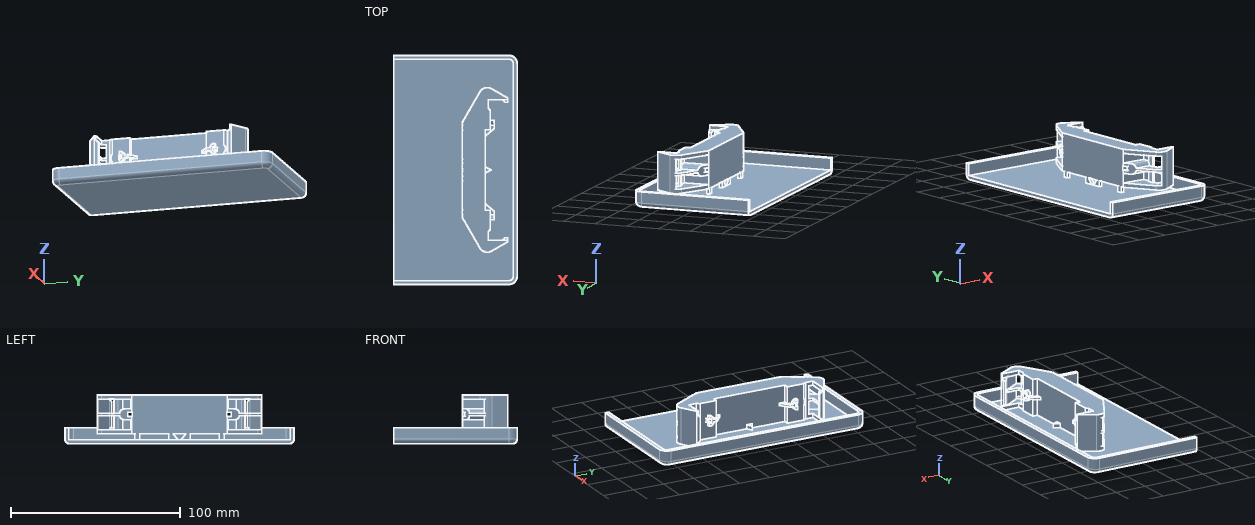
import cadquery as cq
import math

TRAY_LENGTH = 134.9
TRAY_DEPTH = 72.7
TRAY_HEIGHT = 9.6
FLOOR = 2.4
RIM = 2.3
RIM_CORNER = 5.0
FLOOR_ROUND = 3.0

CLIP_TOP = 28.9
CLIP_BOTTOM = 6.0
CLIP_FRONT = 40.5
CLIP_TIP = 67.2
PLATE = 2.5
RIB = 1.5
CLIP_MIDDLE = (CLIP_TOP + CLIP_BOTTOM) / 2
INSIDE_BOTTOM = CLIP_BOTTOM + PLATE
INSIDE_HEIGHT = CLIP_TOP - CLIP_BOTTOM - 2 * PLATE

FRONT_HALF = 28.2
FLANK_ANGLE = math.radians(60)
ARM_ANGLE = math.radians(30)
TIP_Y = 42.2
ELBOW_ROUND = 5.0
JAW_Y = 41.3
JAW_X = 55.7
SHOULDER_X = 57.0
JAW_SLOPE_END = 36.4
SHOULDER_Y = 34.4
BLOCK_STEP_Y = 23.6
BLOCK_BACK = 53.8
BLOCK_FLARE = 0.4

ARM_START = 53.2
ARM_INNER_Y = 48.2
BARB_START = 64.1
BARB = 1.5

WALL = 1.2
WALL_END = 38.6
WALL_BEND_START = 33.5

BOSS_HEIGHT = 6.3
BOSS_ROUND = 3.0
BOSS_START = 26.3
BOSS_END = 35.4
HOLE = 2.4
HOLE_SIDE = 30.4
LUG_BACK = 59.1
LUG_END = BOSS_START + BOSS_ROUND
LUG_RAMP_START = 19.8
LUG_RAMP_END = 24.3

FOOT_THICKNESS = 1.9
SIDE_FOOT_Y = 24.8
SIDE_FOOT_WIDTH = 3.0
CENTRE_FOOT_WIDTH = 12.7
NOTCH_TOP = 7.5
NOTCH_BOTTOM = 1.6
POINTER_REACH = 3.6
POINTER_WIDTH = 3.5


def elbow():
    """Sharp corner where the flank line meets the outer arm line."""
    flank_slope = math.tan(FLANK_ANGLE)
    arm_slope = math.tan(ARM_ANGLE)
    rise = TIP_Y + arm_slope * CLIP_TIP - FRONT_HALF + flank_slope * CLIP_FRONT
    x = rise / (flank_slope + arm_slope)
    return x, FRONT_HALF + flank_slope * (x - CLIP_FRONT)


def prism(points, bottom, height):
    """Vertical prism over a closed outline."""
    return cq.Workplane("XY").workplane(offset=bottom).polyline(points).close().extrude(height)


def box(x_range, y_range, z_range):
    """Box between pairs of limits."""
    size = [high - low for low, high in (x_range, y_range, z_range)]
    return cq.Workplane("XY").box(*size, centered=False).translate((x_range[0], y_range[0], z_range[0]))


def mirrored(half):
    """Outline points of the Y < 0 half, continuing the given Y > 0 half."""
    return [(x, -y) for x, y in reversed(half)]


def both_ends(half):
    """A half-clip feature at Y > 0 together with its mirror image."""
    return half.union(half.mirror("XZ"))


def make_tray():
    tray = box((0, TRAY_DEPTH), (-TRAY_LENGTH / 2, TRAY_LENGTH / 2), (0, TRAY_HEIGHT))
    tray = tray.edges("|Z and >X").fillet(RIM_CORNER)
    tray = tray.faces("<Z").edges("not <X").fillet(FLOOR_ROUND)
    inner_half = TRAY_LENGTH / 2 - RIM
    cavity = box((0, TRAY_DEPTH - RIM), (-inner_half, inner_half), (FLOOR, TRAY_HEIGHT))
    cavity = cavity.edges("|Z and >X").fillet(RIM_CORNER - RIM)
    return tray.cut(cavity)


def clip_layer(bottom, height):
    """Slab with the full clip outline, used for both plates and the rib."""
    half = [
        (CLIP_FRONT, FRONT_HALF),
        elbow(),
        (CLIP_TIP, TIP_Y),
        (CLIP_TIP, JAW_Y),
        (JAW_X, JAW_Y),
        (JAW_X, JAW_SLOPE_END),
        (SHOULDER_X, SHOULDER_Y),
        (SHOULDER_X, BLOCK_STEP_Y),
        (BLOCK_BACK, BLOCK_STEP_Y),
    ]
    elbow_y = elbow()[1]
    slab = prism(half + mirrored(half), bottom, height)
    for side in (1, -1):
        corner = cq.selectors.NearestToPointSelector((elbow()[0], side * elbow_y, bottom + height / 2))
        slab = slab.edges("|Z").edges(corner).fillet(ELBOW_ROUND)
    return slab


def make_block():
    """Solid middle of the clip; its ends flare slightly towards the back."""
    back_half = FRONT_HALF + BLOCK_FLARE
    half = [
        (CLIP_FRONT, FRONT_HALF),
        (SHOULDER_X, back_half),
        (SHOULDER_X, BLOCK_STEP_Y),
        (BLOCK_BACK, BLOCK_STEP_Y),
    ]
    return prism(half + mirrored(half), CLIP_BOTTOM, CLIP_TOP - CLIP_BOTTOM)


def make_arms():
    """Arm walls joining the plates, each with a ramped barb on its inner face."""
    inner_side = prism(
        [
            (ARM_START, ARM_INNER_Y),
            (BARB_START, JAW_Y),
            (CLIP_TIP, JAW_Y),
            (CLIP_TIP, ARM_INNER_Y + ELBOW_ROUND),
            (ARM_START, ARM_INNER_Y + ELBOW_ROUND),
        ],
        CLIP_BOTTOM,
        CLIP_TOP - CLIP_BOTTOM,
    )
    arm = clip_layer(CLIP_BOTTOM, CLIP_TOP - CLIP_BOTTOM).intersect(inner_side)

    barb = prism(
        [
            (BARB_START, JAW_Y),
            (BARB_START + BARB, JAW_Y - BARB),
            (CLIP_TIP, JAW_Y - BARB),
            (CLIP_TIP, JAW_Y),
        ],
        INSIDE_BOTTOM,
        INSIDE_HEIGHT,
    )
    inside_top = INSIDE_BOTTOM + INSIDE_HEIGHT
    ramps = (
        cq.Workplane("YZ", origin=(BARB_START, 0, 0))
        .polyline(
            [
                (JAW_Y, INSIDE_BOTTOM),
                (JAW_Y - BARB, INSIDE_BOTTOM + BARB),
                (JAW_Y - BARB, inside_top - BARB),
                (JAW_Y, inside_top),
            ]
        )
        .close()
        .extrude(CLIP_TIP - BARB_START)
    )
    return both_ends(arm.union(barb.intersect(ramps)))


def make_end_walls():
    """Thin walls between the plates at the back, bent forward near their free edge."""
    bend_width = JAW_SLOPE_END - WALL_BEND_START
    bend_depth = SHOULDER_X - JAW_X
    bend_radius = (bend_width**2 + bend_depth**2) / (2 * bend_depth)
    half_bend = math.asin(bend_width / bend_radius) / 2
    bend_middle = (
        JAW_X - WALL + bend_radius * (1 - math.cos(half_bend)),
        JAW_SLOPE_END - bend_radius * math.sin(half_bend),
    )
    wall = (
        cq.Workplane("XY", origin=(0, 0, INSIDE_BOTTOM))
        .moveTo(SHOULDER_X - WALL, FRONT_HALF)
        .lineTo(SHOULDER_X - WALL, WALL_BEND_START)
        .threePointArc(bend_middle, (JAW_X - WALL, JAW_SLOPE_END))
        .lineTo(JAW_X - WALL, WALL_END)
        .lineTo(JAW_X, WALL_END)
        .lineTo(JAW_X, JAW_SLOPE_END)
        .lineTo(SHOULDER_X, SHOULDER_Y)
        .lineTo(SHOULDER_X, FRONT_HALF)
        .close()
        .extrude(INSIDE_HEIGHT)
    )
    return both_ends(wall)


def make_bosses():
    """Bosses along X, trimmed flush with the flanks; their inner sides run on, rounded, past the block."""
    boss_z = (CLIP_MIDDLE - BOSS_HEIGHT / 2, CLIP_MIDDLE + BOSS_HEIGHT / 2)
    boss = box((CLIP_FRONT, LUG_BACK), (BOSS_START, BOSS_END), boss_z).edges("|X").fillet(BOSS_ROUND)
    boss = boss.cut(box((SHOULDER_X, LUG_BACK), (LUG_END, BOSS_END), boss_z))
    boss = boss.union(box((CLIP_FRONT, SHOULDER_X), (BOSS_START, LUG_END), boss_z))
    flank = prism(
        [
            (CLIP_FRONT, BOSS_START),
            (CLIP_FRONT, FRONT_HALF),
            elbow(),
            (LUG_BACK, elbow()[1]),
            (LUG_BACK, BOSS_START),
        ],
        CLIP_BOTTOM,
        CLIP_TOP - CLIP_BOTTOM,
    )
    return both_ends(boss.intersect(flank))


def make_lugs():
    """Ramped lugs behind the block, as thick as the rib and carrying the boss ends."""
    lug = prism(
        [
            (BLOCK_BACK, LUG_RAMP_START),
            (LUG_BACK, LUG_RAMP_END),
            (LUG_BACK, LUG_END),
            (SHOULDER_X, LUG_END),
            (SHOULDER_X, BLOCK_STEP_Y),
            (BLOCK_BACK, BLOCK_STEP_Y),
        ],
        CLIP_MIDDLE - RIB / 2,
        RIB,
    )
    return both_ends(lug)


def make_boss_holes():
    """Square holes running along X through the bosses and lugs."""
    hole_z = (CLIP_MIDDLE - HOLE / 2, CLIP_MIDDLE + HOLE / 2)
    return both_ends(box((CLIP_FRONT, LUG_BACK), (HOLE_SIDE - HOLE, HOLE_SIDE), hole_z))


def make_feet():
    """Three feet flush with the front face, standing on the tray floor."""
    foot_x = (CLIP_FRONT, CLIP_FRONT + FOOT_THICKNESS)
    foot_z = (FLOOR, CLIP_BOTTOM)
    feet = box(foot_x, (-CENTRE_FOOT_WIDTH / 2, CENTRE_FOOT_WIDTH / 2), foot_z)
    notch = (
        cq.Workplane("YZ", origin=(CLIP_FRONT, 0, 0))
        .polyline(
            [
                (-NOTCH_TOP / 2, CLIP_BOTTOM),
                (NOTCH_TOP / 2, CLIP_BOTTOM),
                (NOTCH_BOTTOM / 2, FLOOR),
                (-NOTCH_BOTTOM / 2, FLOOR),
            ]
        )
        .close()
        .extrude(FOOT_THICKNESS)
    )
    side_foot_y = (SIDE_FOOT_Y - SIDE_FOOT_WIDTH / 2, SIDE_FOOT_Y + SIDE_FOOT_WIDTH / 2)
    return feet.cut(notch).union(both_ends(box(foot_x, side_foot_y, foot_z)))


def make_pointer():
    """Small triangular pointer on the back edge of the lower plate."""
    return prism(
        [
            (BLOCK_BACK, -POINTER_WIDTH / 2),
            (BLOCK_BACK + POINTER_REACH, 0),
            (BLOCK_BACK, POINTER_WIDTH / 2),
        ],
        CLIP_BOTTOM,
        PLATE,
    )


def make_clip():
    clip = make_block()
    for bottom, height in (
        (CLIP_BOTTOM, PLATE),
        (CLIP_MIDDLE - RIB / 2, RIB),
        (CLIP_TOP - PLATE, PLATE),
    ):
        clip = clip.union(clip_layer(bottom, height))
    for feature in (make_arms(), make_end_walls(), make_bosses(), make_lugs(), make_feet(), make_pointer()):
        clip = clip.union(feature)
    return clip.cut(make_boss_holes())


tray = make_tray()
clip = make_clip()
result = cq.Compound.makeCompound([*tray.solids().vals(), *clip.solids().vals()])